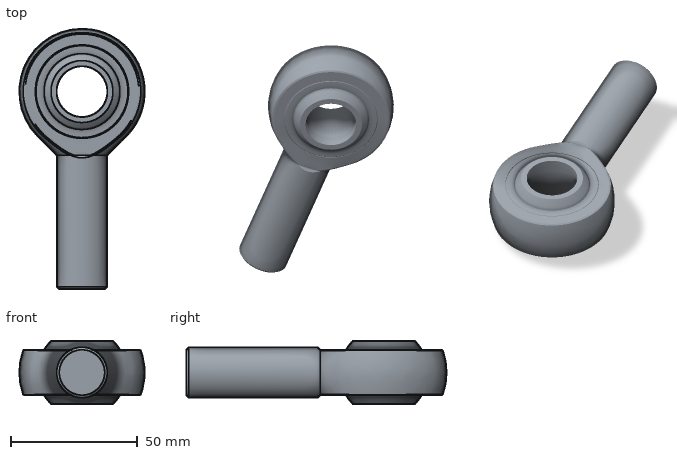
import cadquery as cq
import math

HEAD_RADIUS = 24.83
HEAD_WIDTH = 18.0
RIM_CHAMFER = 0.4
TOTAL_LENGTH = 102.8
SHANK_RADIUS = 20.0 / 2
SHANK_TIP_CHAMFER = 1.0
RACE_RADIUS = 36.9 / 2
RACE_CHAMFER = 0.3
BALL_RADIUS = 17.5
BALL_WIDTH = 25.0
BORE_RADIUS = SHANK_RADIUS

half_width = HEAD_WIDTH / 2
shank_end_y = HEAD_RADIUS - TOTAL_LENGTH
tangent_offset = HEAD_RADIUS * math.sqrt(0.5)
neck_end_y = SHANK_RADIUS - 2 * tangent_offset


def z_cylinder(radius, height):
    """Cylinder centred on the origin, along Z."""
    return cq.Workplane("XY").circle(radius).extrude(height / 2, both=True)


def make_head():
    """Sphere and neck cone trimmed to two flat faces with chamfered rims."""
    revolved = (
        cq.Workplane("XY")
        .moveTo(0, HEAD_RADIUS)
        .threePointArc((HEAD_RADIUS, 0), (tangent_offset, -tangent_offset))
        .lineTo(SHANK_RADIUS, neck_end_y)
        .lineTo(0, neck_end_y)
        .close()
        .revolve(360, (0, 0, 0), (0, 1, 0))
    )
    slab_side = 4 * HEAD_RADIUS
    slab = cq.Workplane("XY").box(slab_side, slab_side, HEAD_WIDTH)
    return revolved.intersect(slab).faces("|Z").edges("not(|X)").chamfer(RIM_CHAMFER)


def make_shank():
    """Round shank, sloped at 45 degrees where it rises above the head flats."""
    shank = (
        cq.Workplane("XZ", origin=(0, neck_end_y, 0))
        .circle(SHANK_RADIUS)
        .extrude(neck_end_y - shank_end_y)
        .faces("<Y")
        .chamfer(SHANK_TIP_CHAMFER)
    )
    rise = SHANK_RADIUS - half_width
    side_profile = (
        cq.Workplane("YZ")
        .moveTo(neck_end_y, half_width)
        .lineTo(neck_end_y - rise, SHANK_RADIUS)
        .lineTo(shank_end_y, SHANK_RADIUS)
        .lineTo(shank_end_y, -SHANK_RADIUS)
        .lineTo(neck_end_y - rise, -SHANK_RADIUS)
        .lineTo(neck_end_y, -half_width)
        .close()
        .extrude(SHANK_RADIUS, both=True)
    )
    return shank.intersect(side_profile)


def make_housing():
    """Head and shank in one piece, bored for the race."""
    return make_head().union(make_shank()).cut(z_cylinder(RACE_RADIUS, HEAD_WIDTH))


def make_race():
    """Ring flush with the head flats, with a spherical seat for the ball."""
    ring = z_cylinder(RACE_RADIUS, HEAD_WIDTH).faces("|Z").edges().chamfer(RACE_CHAMFER)
    return ring.cut(cq.Workplane("XY").sphere(BALL_RADIUS))


def make_ball():
    """Truncated sphere with a through bore."""
    ball = cq.Workplane("XY").sphere(BALL_RADIUS).intersect(z_cylinder(BALL_RADIUS, BALL_WIDTH))
    return ball.cut(z_cylinder(BORE_RADIUS, BALL_WIDTH))


housing = make_housing()
race = make_race()
ball = make_ball()
result = cq.Compound.makeCompound([body.solids().val() for body in (housing, race, ball)])